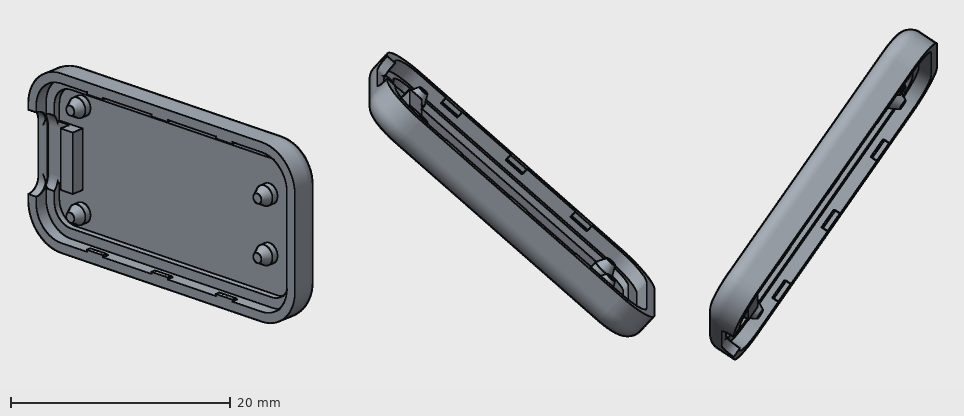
import cadquery as cq

length = 32.95
height = 17.7
depth = 3.35
corner_radius = 4.1
back_fillet = 1.5

rim_width = 1.0
ledge_inset = 2.0
ledge_depth = 1.35
floor_depth = 2.05

tab_length = 2.0
tab_height = 0.2
tab_crest_depth = 0.5
tab_root_depth = tab_crest_depth + tab_height
tab_pitch = 7.97
tab_row_center = -0.25

peg_radius = 1.005
peg_tip_radius = 0.5
peg_tip_depth = 0.4
left_peg_x = -length / 2 + 4.85
left_peg_z = 5.27
right_peg_x = -length / 2 + 27.95
right_peg_z = 2.93

pad_depth = 1.8
stop_height = 6.05
rib_depth = 0.7
rib_thickness = 1.48
rib_front_x = -length / 2 + 3.4

slot_depth = 1.35
slot_radius = 1.32
slot_half_width = 4.15

recess_depth = 1.85
recess_radius = 1.9
recess_axis_depth = recess_depth - recess_radius
recess_flat_half = 2.45
blend_start_x = -length / 2 + 0.63
blend_end_x = -length / 2 + 1.32
blend_step = 0.1
recess_end_x = -length / 2 + 3.33


def rounded_plate(inset, near_depth, far_depth):
    """Rounded rectangle, inset from the outer outline, between two depths."""
    thickness = far_depth - near_depth
    return (
        cq.Workplane("XY")
        .box(length - 2 * inset, thickness, height - 2 * inset)
        .edges("|Y")
        .fillet(corner_radius - inset)
        .translate((0, near_depth + thickness / 2, 0))
    )


def block(x_start, x_end, near_depth, far_depth, z_size, z_center=0):
    """Box given by its X range, depth range and Z size."""
    return (
        cq.Workplane("XY")
        .box(x_end - x_start, far_depth - near_depth, z_size)
        .translate(((x_start + x_end) / 2, (near_depth + far_depth) / 2, z_center))
    )


def shell():
    body = rounded_plate(0, 0, depth).faces(">Y").edges().fillet(back_fillet)
    body = body.cut(rounded_plate(rim_width, 0, ledge_depth))
    return body.cut(rounded_plate(ledge_inset, 0, floor_depth))


def snap_tab(x_center, side):
    """Tab flush with the rim whose inner face tapers back into the wall."""
    wall_z = side * (height / 2 - rim_width)
    crest_z = wall_z - side * tab_height
    section = [(0, wall_z), (0, crest_z), (tab_crest_depth, crest_z), (tab_root_depth, wall_z)]
    return (
        cq.Workplane("YZ", origin=(x_center, 0, 0))
        .polyline(section)
        .close()
        .extrude(tab_length / 2, both=True)
    )


def peg(x, z):
    """Cylinder up to ledge level, then a cone to the flat tip."""
    profile = [
        (0, floor_depth),
        (peg_radius, floor_depth),
        (peg_radius, ledge_depth),
        (peg_tip_radius, peg_tip_depth),
        (0, peg_tip_depth),
    ]
    return cq.Workplane("XY").polyline(profile).close().revolve(360, (0, 0), (0, 1)).translate((x, 0, z))


def connector_stop():
    pad = block(-length / 2 + ledge_inset, rib_front_x, pad_depth, floor_depth, stop_height)
    rib = block(rib_front_x, rib_front_x + rib_thickness, rib_depth, floor_depth, stop_height)
    return pad.union(rib)


def slot_cutter():
    """Round-bottomed slot through the left rim wall only."""
    return (
        block(-length / 2, -length / 2 + rim_width, -slot_depth, slot_depth, 2 * slot_half_width)
        .edges("|X")
        .fillet(slot_radius)
    )


def recess_profile(z):
    """Section falling from slot depth to recess depth: rounded lip, small step, hollow arc."""
    half_run = (blend_end_x - blend_start_x) / 2
    half_rise = (recess_depth - slot_depth - blend_step) / 2
    blend_radius = (half_run**2 + half_rise**2) / (2 * half_rise)
    step_x = blend_start_x + half_run
    return (
        cq.Workplane("XY", origin=(0, 0, z))
        .moveTo(blend_start_x, recess_axis_depth)
        .lineTo(blend_start_x, slot_depth)
        .radiusArc((step_x, slot_depth + half_rise), -blend_radius)
        .lineTo(step_x, recess_depth - half_rise)
        .radiusArc((blend_end_x, recess_depth), blend_radius)
        .lineTo(recess_end_x, recess_depth)
        .lineTo(recess_end_x, recess_axis_depth)
        .close()
    )


def recess_cutter():
    """Recess section run straight across the middle and turned around both ends."""
    cutter = recess_profile(-recess_flat_half).extrude(2 * recess_flat_half)
    for z in (-recess_flat_half, recess_flat_half):
        cutter = cutter.union(recess_profile(z).revolve(360, (0, recess_axis_depth), (1, recess_axis_depth)))
    return cutter


result = shell().union(connector_stop())
result = result.cut(slot_cutter()).cut(recess_cutter())

for side in (-1, 1):
    for index in (-1, 0, 1):
        result = result.union(snap_tab(tab_row_center + index * tab_pitch, side))
    result = result.union(peg(left_peg_x, side * left_peg_z))
    result = result.union(peg(right_peg_x, side * right_peg_z))